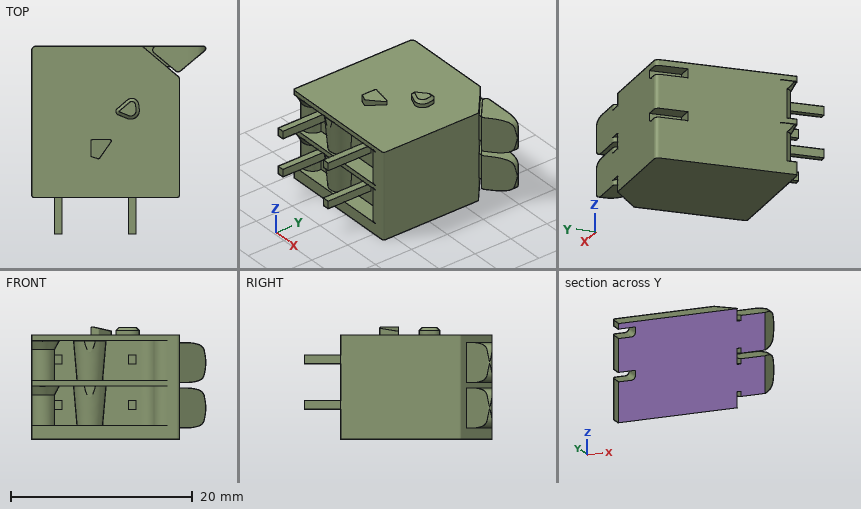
import cadquery as cq
import math


width = 16.3
depth = 16.7
height = 11.5
front_round = 0.3
back_round = 0.5
slant_angle = 40.0
slant_start_y = 13.24
slant_dx = (depth - slant_start_y) / math.tan(math.radians(slant_angle))
slant_round = 0.3

level_pitch = 5.0
level_floors = [1.5, 1.5 + level_pitch]

window_width = 14.9
window_depth = 2.0
window_height = 4.4
boss_gap = 0.04
boss_height = window_height - boss_gap

left_boss_x = 1.2
left_boss_y = 1.82
left_boss_radius = 1.32
left_boss_flare = 0.53
left_boss_flare_height = 0.98

cone_x = 6.41
cone_y = 1.69
cone_bottom_radius = 1.42
cone_top_radius = 1.8

ramp_start_x = 12.12

pin_width = 0.86
pin_height = 1.0
pin_length = 4.0
pin_left_x = 2.5
pin_pitch = 8.15
pin_above_floor = 1.8

slot_above_floor = 3.27
slot_height = 1.04
slot_length = 3.76
slot_depth = 2.0
slot_round = 0.45

lever_below_floor = 0.25
lever_height = 4.41
lever_nose_x = 16.14
lever_nose_y = 13.73
lever_round = 0.42
lever_tip_round = 0.275
lever_tip_x = 19.2
lever_curve_start_x = 17.18
lever_curve_mid_x = 18.34
lever_curve_end_x = 19.06
lever_mid_drop = 0.18
lever_bulge_x = 18.8
lever_bulge_drop = 0.46
lever_end_drop = 1.05

neck_front_y = 14.4
neck_inset = 0.6

drop_peg_corners = [(8.94, 9.38), (12.1, 8.08), (11.6, 11.67)]
drop_peg_rounds = [0.4, 0.97, 0.76]
drop_peg_height = 0.84
drop_peg_chamfer = 0.35
wedge_corners = [(6.52, 6.39), (6.52, 4.54), (7.42, 4.26), (8.92, 6.39)]
wedge_corner_round = 0.15
wedge_height = 0.95
wedge_angle = 13.0
wedge_edge_round = 0.2


def box(x0, x1, y0, y1, z0, z1):
    return cq.Workplane("XY").box(x1 - x0, y1 - y0, z1 - z0, centered=False).translate((x0, y0, z0))


def prism(points, z0, z1):
    return cq.Workplane("XY").workplane(offset=z0).polyline(points).close().extrude(z1 - z0)


def round_upright_edge(body, point, radius):
    """Fillet the vertical edge standing nearest to the given (x, y) point."""
    z_mid = body.val().Center().z
    return body.edges("|Z").edges(cq.NearestToPointSelector((point[0], point[1], z_mid))).fillet(radius)


def cone(x, y, z, bottom_radius, top_radius, cone_height):
    solid = cq.Solid.makeCone(bottom_radius, top_radius, cone_height, cq.Vector(x, y, z))
    return cq.Workplane(obj=solid)


def make_housing():
    corners = [
        (0, 0),
        (width, 0),
        (width, slant_start_y),
        (width - slant_dx, depth),
        (0, depth),
    ]
    housing = prism(corners, 0, height)
    housing = round_upright_edge(housing, (0, 0), front_round)
    housing = round_upright_edge(housing, (width, 0), front_round)
    housing = round_upright_edge(housing, (0, depth), back_round)
    return round_upright_edge(housing, (width, slant_start_y), slant_round)


def make_ramp(floor):
    """Concave then convex arc of equal radius rising from the window's back to its front."""
    half_x = (window_width - ramp_start_x) / 2
    half_y = window_depth / 2
    sweep = 2 * math.atan(half_y / half_x)
    radius = half_x / math.sin(sweep)
    arc_x = radius * math.sin(sweep / 2)
    arc_y = radius * (1 - math.cos(sweep / 2))
    return (
        cq.Workplane("XY")
        .workplane(offset=floor)
        .moveTo(ramp_start_x, window_depth)
        .threePointArc(
            (ramp_start_x + arc_x, window_depth - arc_y),
            (ramp_start_x + half_x, window_depth - half_y),
        )
        .threePointArc((window_width - arc_x, arc_y), (window_width, 0))
        .lineTo(window_width, window_depth)
        .close()
        .extrude(window_height)
    )


def make_bosses(floor):
    straight_height = boss_height - left_boss_flare_height
    flare_z = floor + straight_height
    left = (
        cq.Workplane("XY")
        .workplane(offset=floor)
        .center(left_boss_x, left_boss_y)
        .circle(left_boss_radius)
        .extrude(straight_height)
    )
    flare_radius = left_boss_radius + left_boss_flare
    flare = cone(left_boss_x, left_boss_y, flare_z, left_boss_radius, flare_radius, left_boss_flare_height)
    middle = cone(cone_x, cone_y, floor, cone_bottom_radius, cone_top_radius, boss_height)
    window = box(0, window_width, 0, window_depth, floor, floor + window_height)
    return left.union(flare).union(middle).intersect(window)


def make_pin(x, floor):
    z = floor + pin_above_floor
    return box(x, x + pin_width, -pin_length, window_depth, z, z + pin_height)


def make_slot(floor):
    z = floor + slot_above_floor
    slot = box(0, slot_depth, depth - slot_length, depth, z, z + slot_height)
    return slot.edges(">X and <Z").fillet(slot_round)


def make_lever_wedge(z0, z1):
    """Triangular lever body whose nose points to the front, both sides at the slant's angle."""
    half_length = (depth - lever_nose_y) / math.tan(math.radians(slant_angle))
    nose = (lever_nose_x, lever_nose_y)
    heel = (lever_nose_x - half_length, depth)
    tip = (lever_nose_x + half_length, depth)
    lever = prism([heel, nose, tip], z0, z1)
    lever = round_upright_edge(lever, nose, lever_round)
    lever = round_upright_edge(lever, heel, lever_round)
    return round_upright_edge(lever, tip, lever_tip_round)


def make_lever_outline(z0, z1):
    """Tongue shape of the lever, rounded at its free end and symmetric about its mid height."""
    x0 = width - slant_dx
    shoulder_x = (lever_curve_start_x + lever_curve_mid_x) / 2
    shoulder_drop = lever_mid_drop / 4
    return (
        cq.Workplane("XZ")
        .moveTo(x0, z0)
        .lineTo(lever_curve_start_x, z0)
        .threePointArc((shoulder_x, z0 + shoulder_drop), (lever_curve_mid_x, z0 + lever_mid_drop))
        .threePointArc((lever_bulge_x, z0 + lever_bulge_drop), (lever_curve_end_x, z0 + lever_end_drop))
        .threePointArc((lever_tip_x, (z0 + z1) / 2), (lever_curve_end_x, z1 - lever_end_drop))
        .threePointArc((lever_bulge_x, z1 - lever_bulge_drop), (lever_curve_mid_x, z1 - lever_mid_drop))
        .threePointArc((shoulder_x, z1 - shoulder_drop), (lever_curve_start_x, z1))
        .lineTo(x0, z1)
        .close()
        .extrude(-depth)
    )


def make_neck(z0, z1):
    front_right_x = lever_nose_x - (neck_front_y - lever_nose_y) / math.tan(math.radians(slant_angle))
    points = [
        (width - slant_dx, depth),
        (width - slant_dx, neck_front_y),
        (front_right_x, neck_front_y),
        (front_right_x, depth),
    ]
    return prism(points, z0 + neck_inset, z1 - neck_inset)


def make_lever(floor):
    z0 = floor - lever_below_floor
    z1 = z0 + lever_height
    lever = make_lever_wedge(z0, z1).intersect(make_lever_outline(z0, z1))
    return lever.union(make_neck(z0, z1))


def make_drop_peg():
    peg = prism(drop_peg_corners, height, height + drop_peg_height)
    for corner, radius in zip(drop_peg_corners, drop_peg_rounds):
        peg = round_upright_edge(peg, corner, radius)
    return peg.faces(">Z").chamfer(drop_peg_chamfer)


def make_wedge_peg():
    footprint = prism(wedge_corners, height, height + wedge_height)
    for corner in wedge_corners:
        footprint = round_upright_edge(footprint, corner, wedge_corner_round)
    left, back = wedge_corners[0]
    right = wedge_corners[-1][0]
    top = height + wedge_height
    drop = (right - left) * math.tan(math.radians(wedge_angle))
    sloped_profile = (
        cq.Workplane("XZ")
        .polyline([(left, height), (right, height), (right, top - drop), (left, top)])
        .close()
        .extrude(-back)
        .faces("<X")
        .edges(">Z")
        .fillet(wedge_edge_round)
    )
    return footprint.intersect(sloped_profile)


result = make_housing()
for floor in level_floors:
    result = result.cut(box(0, window_width, 0, window_depth, floor, floor + window_height))
    result = result.cut(make_slot(floor))
    result = result.union(make_ramp(floor))
    result = result.union(make_bosses(floor))
    for pin_x in (pin_left_x, pin_left_x + pin_pitch):
        result = result.union(make_pin(pin_x, floor))
    result = result.union(make_lever(floor))
result = result.union(make_drop_peg()).union(make_wedge_peg())